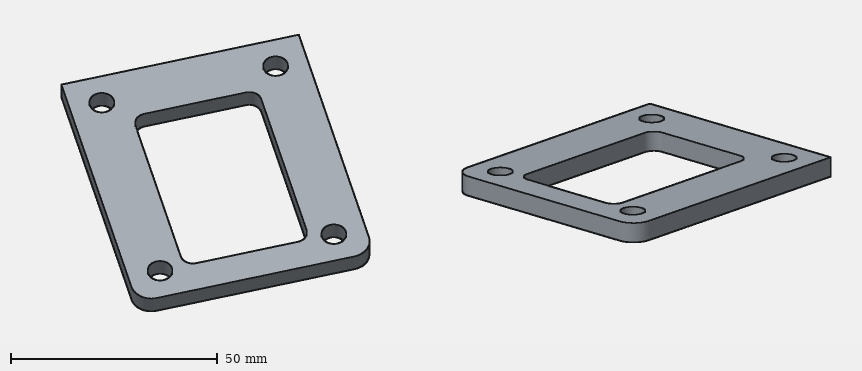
import cadquery as cq

length = 70.0
width = 59.5
thickness = 5.0
corner_radius = thickness

hole_diameter = 6.0
hole_inset = 8.0

wide_border = 14.0
narrow_border = hole_inset
window_length = length - wide_border - narrow_border
window_width = width - 2 * wide_border
window_radius = 3.0
window_center_x = (wide_border - narrow_border) / 2


def make_plate():
    """Flat plate with square corners at -X and rounded corners at +X."""
    plate = cq.Workplane("XY").box(length, width, thickness)
    return plate.edges("|Z and >X").fillet(corner_radius)


def make_window():
    """Rounded rectangular opening through the full thickness."""
    window = cq.Workplane("XY").box(window_length, window_width, thickness)
    return window.edges("|Z").fillet(window_radius).translate((window_center_x, 0, 0))


def make_holes():
    """Four cylinders at the corners of a centered rectangle."""
    return (
        cq.Workplane("XY")
        .rect(length - 2 * hole_inset, width - 2 * hole_inset, forConstruction=True)
        .vertices()
        .circle(hole_diameter / 2)
        .extrude(thickness / 2, both=True)
    )


result = make_plate().cut(make_window()).cut(make_holes())